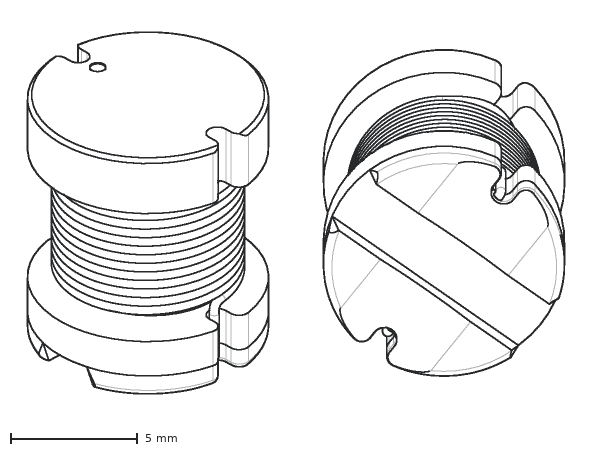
import cadquery as cq
import math



TOTAL_HEIGHT = 11.1
FLANGE_RADIUS = 4.75
TOP_FLANGE_BOTTOM = 8.59
BASE_FLANGE_TOP = 2.6
BASE_FLANGE_BOTTOM = 0.99
NECK_RADIUS = 2.74
TOP_CHAMFER = 0.17

NOTCH_WIDTH = 0.89
NOTCH_FLOOR = 3.46
NOTCH_MOUTH_ROUND = 0.44

DOT_CENTER_X = -2.83
DOT_RADIUS = 0.32
DOT_DEPTH = 0.05

TERMINAL_GAP = 2.46
TERMINAL_BOTTOM_ROUND = 0.32
VALLEY_HALF_WIDTH = 2.22
VALLEY_DEPTH = 0.15
CORNER_CUT_RUN = 0.32
CORNER_CUT_DEPTH = 0.22
CORNER_CUT_DROP = 0.67

WIRE_RADIUS = 0.194
INNER_COIL_RADIUS = 3.21
OUTER_COIL_RADIUS = 3.62
COIL_TOP = 8.38
INNER_COIL_BOTTOM = 2.81
OUTER_COIL_BOTTOM = 3.02
INNER_COIL_TURNS = 14
OUTER_COIL_TURNS = 13
LEAD_ANGLE = 8.0
INNER_CROSSOVER_ANGLE = 218.0
OUTER_CROSSOVER_ANGLE = 142.0
CROSSOVER_PEAK_RADIUS = 3.77
CROSSOVER_PEAK_ANGLE = 174.0
LEG_X = 3.72
BEND_RADIUS = 0.2
LEG_FOOT = 0.41


def notch(side):
    """Round-ended wire notch cutter at side -1 (-X) or +1 (+X)."""
    half_width = NOTCH_WIDTH / 2
    end_center = NOTCH_FLOOR + half_width
    outside = 2 * FLANGE_RADIUS
    return (
        cq.Workplane("XY")
        .moveTo(side * outside, half_width)
        .lineTo(side * end_center, half_width)
        .threePointArc((side * NOTCH_FLOOR, 0), (side * end_center, -half_width))
        .lineTo(side * outside, -half_width)
        .close()
        .extrude(TOTAL_HEIGHT)
    )


def notched_disc(bottom, top):
    """Flange disc between two heights, with both notches and their rounded mouths."""
    disc = cq.Workplane("XY").workplane(offset=bottom).circle(FLANGE_RADIUS).extrude(top - bottom)
    for side in (-1, 1):
        disc = disc.cut(notch(side))
    mouth_x = math.sqrt(FLANGE_RADIUS**2 - (NOTCH_WIDTH / 2) ** 2)
    for side in (-1, 1):
        for end in (-1, 1):
            corner = (side * mouth_x, end * NOTCH_WIDTH / 2, (bottom + top) / 2)
            disc = disc.edges(cq.selectors.NearestToPointSelector(corner)).fillet(NOTCH_MOUTH_ROUND)
    return disc


def make_core():
    """Drum core: two notched flanges joined by a round neck."""
    top_flange = notched_disc(TOP_FLANGE_BOTTOM, TOTAL_HEIGHT)
    chamfer_bound = (
        cq.Workplane("XY")
        .workplane(offset=TOP_FLANGE_BOTTOM)
        .circle(FLANGE_RADIUS)
        .extrude(TOTAL_HEIGHT - TOP_FLANGE_BOTTOM)
        .faces(">Z")
        .chamfer(TOP_CHAMFER)
    )
    top_flange = top_flange.intersect(chamfer_bound)
    dot = (
        cq.Workplane("XY")
        .workplane(offset=TOTAL_HEIGHT - DOT_DEPTH)
        .center(DOT_CENTER_X, 0)
        .circle(DOT_RADIUS)
        .extrude(DOT_DEPTH)
    )
    neck = (
        cq.Workplane("XY")
        .workplane(offset=BASE_FLANGE_TOP)
        .circle(NECK_RADIUS)
        .extrude(TOP_FLANGE_BOTTOM - BASE_FLANGE_TOP)
    )
    base_flange = notched_disc(BASE_FLANGE_BOTTOM, BASE_FLANGE_TOP)
    return base_flange.union(neck).union(top_flange).cut(dot).solids()


def corner_cut(side, end):
    """Oblique cutter for the outer corner where the gap wall of a terminal meets its rim."""
    gap_x = TERMINAL_GAP / 2
    corner_y = math.sqrt(FLANGE_RADIUS**2 - gap_x**2)
    lower_x = gap_x + CORNER_CUT_RUN
    lower_y = math.sqrt(FLANGE_RADIUS**2 - lower_x**2)
    lean = (CORNER_CUT_DEPTH - (corner_y - lower_y)) / CORNER_CUT_RUN
    slope = CORNER_CUT_DEPTH / CORNER_CUT_DROP
    cutter_size = 3 * BASE_FLANGE_BOTTOM
    plane = cq.Plane(
        origin=(side * gap_x, end * corner_y, BASE_FLANGE_BOTTOM),
        xDir=(end, side * lean, 0),
        normal=(-side * lean, end, -slope),
    )
    return cq.Workplane(plane).rect(cutter_size, cutter_size).extrude(cutter_size)


def make_terminal(side):
    """Solid of the terminal under the -X (side -1) or +X (side +1) half of the base flange."""
    plate = notched_disc(0, BASE_FLANGE_BOTTOM)
    valley = (
        cq.Workplane("YZ")
        .moveTo(-VALLEY_HALF_WIDTH, 0)
        .threePointArc((0, VALLEY_DEPTH), (VALLEY_HALF_WIDTH, 0))
        .close()
        .extrude(FLANGE_RADIUS, both=True)
    )
    half = (
        cq.Workplane("XY")
        .center(side * (TERMINAL_GAP / 2 + FLANGE_RADIUS), 0)
        .rect(2 * FLANGE_RADIUS, 2 * FLANGE_RADIUS)
        .extrude(BASE_FLANGE_BOTTOM)
    )
    terminal = plate.faces("<Z").edges().fillet(TERMINAL_BOTTOM_ROUND).cut(valley).intersect(half)
    for end in (-1, 1):
        terminal = terminal.cut(corner_cut(side, end))
    return terminal.solids().val()


def on_coil(radius, angle, height):
    """Point on a coil at an angle in degrees from +X."""
    turn = math.radians(angle)
    return cq.Vector(radius * math.cos(turn), radius * math.sin(turn), height)


def clockwise(angle, rise):
    """Unit heading of a wire running clockwise (seen from above), rising by the given slope."""
    turn = math.radians(angle)
    return cq.Vector(math.sin(turn), -math.cos(turn), rise).normalized()


def coil(radius, bottom, height, turns, start_angle, lefthand):
    """Helix edge rising from its start angle."""
    helix = cq.Wire.makeHelix(height / turns, height, radius, lefthand=lefthand).Edges()[0]
    return helix.rotate(cq.Vector(), cq.Vector(0, 0, 1), start_angle).translate(cq.Vector(0, 0, bottom))


def bend(center, start, end):
    """Quarter-circle edge in a vertical plane; start and end are unit offsets from the center."""
    middle = (start + end).normalized()
    points = [center + offset * BEND_RADIUS for offset in (start, middle, end)]
    return cq.Edge.makeThreePointArc(*points)


def make_wire():
    """One round wire: -X leg, inner layer going up, crossover, outer layer going down, +X leg."""
    right = cq.Vector(1, 0, 0)
    up = cq.Vector(0, 0, 1)
    bend_x = LEG_X - BEND_RADIUS

    inner_start = 180 - LEAD_ANGLE
    inner_turns = INNER_COIL_TURNS - (INNER_CROSSOVER_ANGLE - inner_start) / 360
    inner_height = COIL_TOP - INNER_COIL_BOTTOM
    inner_slope = inner_height / (2 * math.pi * INNER_COIL_RADIUS * inner_turns)
    outer_turns = OUTER_COIL_TURNS + (OUTER_CROSSOVER_ANGLE - LEAD_ANGLE) / 360
    outer_height = COIL_TOP - OUTER_COIL_BOTTOM
    outer_slope = outer_height / (2 * math.pi * OUTER_COIL_RADIUS * outer_turns)

    left_foot = bend(cq.Vector(-bend_x, 0, LEG_FOOT + BEND_RADIUS), up * -1, right * -1)
    left_leg = cq.Edge.makeLine(
        cq.Vector(-LEG_X, 0, LEG_FOOT + BEND_RADIUS), cq.Vector(-LEG_X, 0, INNER_COIL_BOTTOM - BEND_RADIUS)
    )
    left_shoulder = bend(cq.Vector(-bend_x, 0, INNER_COIL_BOTTOM - BEND_RADIUS), right * -1, up)
    left_lead = cq.Edge.makeSpline(
        [
            cq.Vector(-bend_x, 0, INNER_COIL_BOTTOM),
            on_coil(INNER_COIL_RADIUS, inner_start, INNER_COIL_BOTTOM),
        ],
        tangents=[right, clockwise(inner_start, inner_slope)],
    )
    inner_coil = coil(INNER_COIL_RADIUS, INNER_COIL_BOTTOM, inner_height, inner_turns, inner_start, True)
    crossover = cq.Edge.makeSpline(
        [
            on_coil(INNER_COIL_RADIUS, INNER_CROSSOVER_ANGLE, COIL_TOP),
            on_coil(CROSSOVER_PEAK_RADIUS, CROSSOVER_PEAK_ANGLE, COIL_TOP),
            on_coil(OUTER_COIL_RADIUS, OUTER_CROSSOVER_ANGLE, COIL_TOP),
        ],
        tangents=[
            clockwise(INNER_CROSSOVER_ANGLE, inner_slope),
            clockwise(OUTER_CROSSOVER_ANGLE, -outer_slope),
        ],
    )
    outer_coil = coil(OUTER_COIL_RADIUS, OUTER_COIL_BOTTOM, outer_height, outer_turns, LEAD_ANGLE, False)
    right_lead = cq.Edge.makeSpline(
        [on_coil(OUTER_COIL_RADIUS, LEAD_ANGLE, OUTER_COIL_BOTTOM), cq.Vector(LEG_X, 0, BASE_FLANGE_TOP)],
        tangents=[clockwise(LEAD_ANGLE, -outer_slope), up * -1],
    )
    right_leg = cq.Edge.makeLine(
        cq.Vector(LEG_X, 0, BASE_FLANGE_TOP), cq.Vector(LEG_X, 0, LEG_FOOT + BEND_RADIUS)
    )
    right_foot = bend(cq.Vector(bend_x, 0, LEG_FOOT + BEND_RADIUS), right, up * -1)

    path = cq.Wire.assembleEdges(
        [
            left_foot, left_leg, left_shoulder, left_lead, inner_coil,
            crossover, outer_coil, right_lead, right_leg, right_foot,
        ]
    )
    section_plane = cq.Plane(origin=(-bend_x, 0, LEG_FOOT), xDir=(0, 1, 0), normal=(-1, 0, 0))
    return cq.Workplane(section_plane).circle(WIRE_RADIUS).sweep(cq.Workplane(path))


core = make_core()
terminals = [make_terminal(side) for side in (-1, 1)]
winding = make_wire()

result = cq.Compound.makeCompound([core.val(), *terminals, winding.val()])